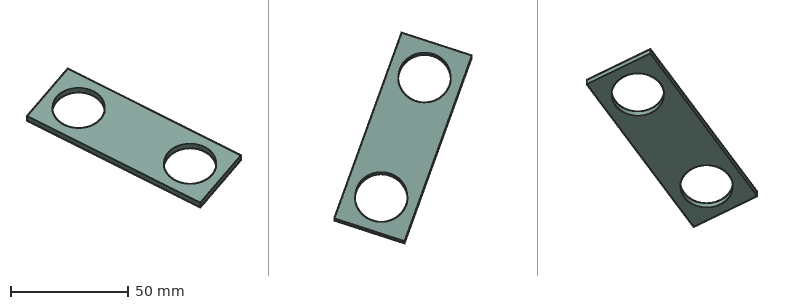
import cadquery as cq

length = 88.4
width = 31.7
thickness = 3.2

hole_diameter = 22.4
hole_spacing = 56.8
hole_pair_offset = 0.2

plate = cq.Workplane("XY").box(length, width, thickness)

hole_centers = [(hole_pair_offset + side * hole_spacing / 2, 0) for side in (-1, 1)]
result = plate.faces(">Z").workplane().pushPoints(hole_centers).hole(hole_diameter)